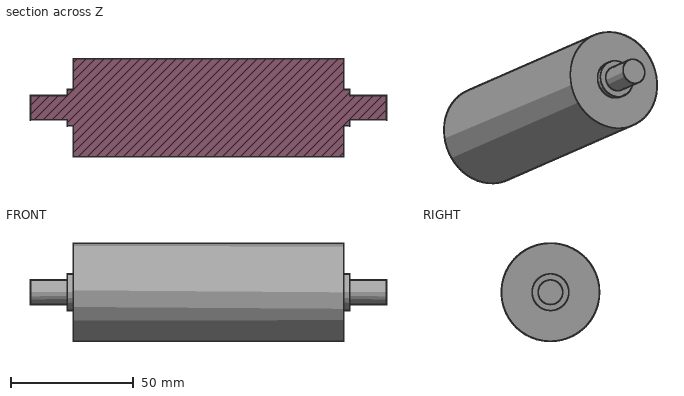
import cadquery as cq

overall_length = 145.0
body_length = 110.0
collar_width = 2.5

body_diameter = 40.0
collar_diameter = 15.0
shaft_diameter = 10.0


def centred_cylinder(diameter, length):
    """Solid cylinder along X, centred on the origin."""
    start = cq.Workplane("YZ").workplane(offset=-length / 2)
    return start.circle(diameter / 2).extrude(length)


body = centred_cylinder(body_diameter, body_length)

collars = centred_cylinder(collar_diameter, body_length + 2 * collar_width)

shaft = centred_cylinder(shaft_diameter, overall_length)

result = body.union(collars).union(shaft)